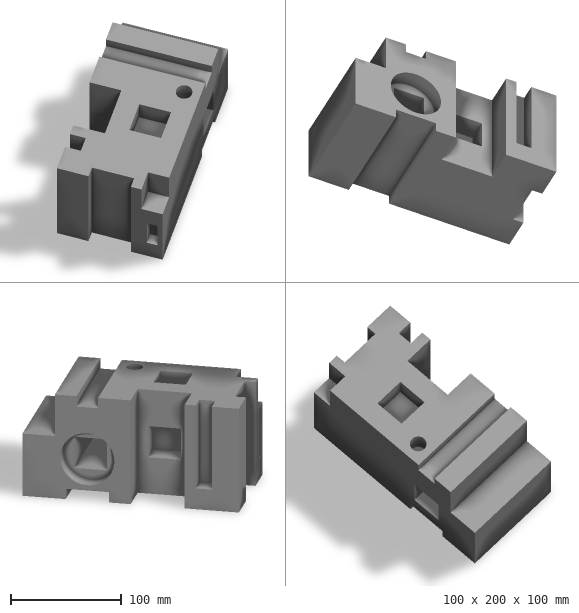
import cadquery as cq

WIDTH = 100.0
LENGTH = 200.0
HEIGHT = 100.0

STEP_LENGTH = 30.0
STEP_HEIGHT = 60.0

GROOVE_DEPTH = 10.0
TOP_GROOVE_START = 130.0
TOP_GROOVE_WIDTH = 20.0
BOTTOM_GROOVE_START = 120.0
BOTTOM_GROOVE_WIDTH = 40.0
FRONT_GROOVE_START = 30.0
FRONT_GROOVE_WIDTH = 40.0

NOTCH_DEPTH = 30.0
NOTCH_START = 50.0
NOTCH_LENGTH = 50.0

SLOT_DEPTH = 15.0
SLOT_START = 25.0
SLOT_WIDTH = 14.8
SLOT_FLOOR = 20.0

CORNER_WIDTH = 20.0
CORNER_LENGTH = 20.0
CORNER_HEIGHT = 30.0

SQUARE = 30.0
POCKET_Y = NOTCH_START + NOTCH_LENGTH / 2
WALL_POCKET_DEPTH = 20.0
TOP_POCKET_X = 65.0
TOP_POCKET_DEPTH = 20.0

FRONT_POCKET_X = 85.0
FRONT_POCKET_Z = 20.0
FRONT_POCKET_WIDTH = 10.0
FRONT_POCKET_HEIGHT = 30.0
FRONT_POCKET_DEPTH = 10.0

BORE_DIAMETER = 50.0
BORE_DEPTH = 15.0
BORE_Y = 140.0
BORE_Z = 40.0

HOLE_DIAMETER = 15.0
HOLE_DEPTH = 20.0
HOLE_X = 84.5
HOLE_Y = 115.0


def box(corner, size):
    """Box with its lowest corner at the given point."""
    return cq.Workplane("XY").box(*size, centered=False).translate(corner)


def cut_outline(body):
    """Cut the step, the left notch and the front right corner."""
    step = box((0, LENGTH - STEP_LENGTH, STEP_HEIGHT), (WIDTH, STEP_LENGTH, HEIGHT - STEP_HEIGHT))
    notch = box((0, NOTCH_START, 0), (NOTCH_DEPTH, NOTCH_LENGTH, HEIGHT))
    corner = box(
        (WIDTH - CORNER_WIDTH, 0, HEIGHT - CORNER_HEIGHT),
        (CORNER_WIDTH, CORNER_LENGTH, CORNER_HEIGHT),
    )
    return body.cut(step).cut(notch).cut(corner)


def cut_grooves(body):
    """Cut the three through grooves and the vertical slot."""
    top = box((0, TOP_GROOVE_START, HEIGHT - GROOVE_DEPTH), (WIDTH, TOP_GROOVE_WIDTH, GROOVE_DEPTH))
    bottom = box((0, BOTTOM_GROOVE_START, 0), (WIDTH, BOTTOM_GROOVE_WIDTH, GROOVE_DEPTH))
    front = box((FRONT_GROOVE_START, 0, 0), (FRONT_GROOVE_WIDTH, GROOVE_DEPTH, HEIGHT))
    slot = box((0, SLOT_START, SLOT_FLOOR), (SLOT_DEPTH, SLOT_WIDTH, HEIGHT - SLOT_FLOOR))
    return body.cut(top).cut(bottom).cut(front).cut(slot)


def cut_pockets(body):
    """Cut the blind pockets in the notch wall, top and front faces."""
    wall = box(
        (NOTCH_DEPTH, POCKET_Y - SQUARE / 2, (HEIGHT - SQUARE) / 2),
        (WALL_POCKET_DEPTH, SQUARE, SQUARE),
    )
    top = box(
        (TOP_POCKET_X - SQUARE / 2, POCKET_Y - SQUARE / 2, HEIGHT - TOP_POCKET_DEPTH),
        (SQUARE, SQUARE, TOP_POCKET_DEPTH),
    )
    front = box(
        (FRONT_POCKET_X, 0, FRONT_POCKET_Z),
        (FRONT_POCKET_WIDTH, FRONT_POCKET_DEPTH, FRONT_POCKET_HEIGHT),
    )
    return body.cut(wall).cut(top).cut(front)


def cut_holes(body):
    """Cut the counterbored square hole and the round top hole."""
    bore = cq.Workplane("YZ").center(BORE_Y, BORE_Z).circle(BORE_DIAMETER / 2).extrude(BORE_DEPTH)
    square = cq.Workplane("YZ").center(BORE_Y, BORE_Z).rect(SQUARE, SQUARE).extrude(WIDTH)
    hole = (
        cq.Workplane("XY", origin=(HOLE_X, HOLE_Y, HEIGHT))
        .circle(HOLE_DIAMETER / 2)
        .extrude(-HOLE_DEPTH)
    )
    return body.cut(bore).cut(square).cut(hole)


block = box((0, 0, 0), (WIDTH, LENGTH, HEIGHT))
result = cut_holes(cut_pockets(cut_grooves(cut_outline(block))))